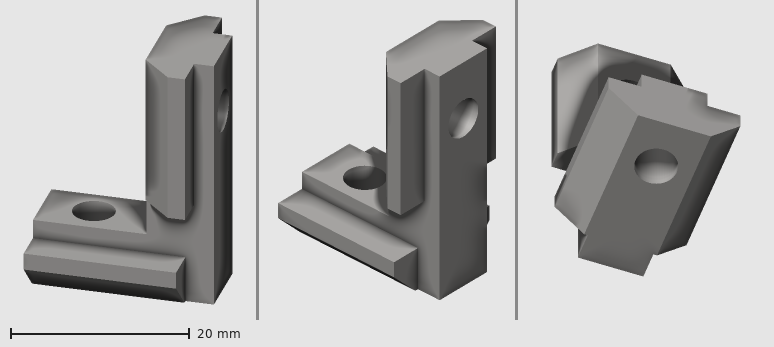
import cadquery as cq

length_x = 21.0
width_y = 15.7
height_z = 30.0

leg_thickness = 7.8
stem_width = 7.8
flange_thickness = 5.52
flange_chamfer = 3.5
flange_length = 17.7

hole_diameter = 4.92
foot_hole_offset = 6.0
upright_hole_offset = 7.5

upright_x = length_x - leg_thickness
cut_margin = 0.3


def stem():
    """L-shaped core, centred on Y = 0."""
    return (
        cq.Workplane("XZ")
        .moveTo(0, 0)
        .lineTo(length_x, 0)
        .lineTo(length_x, height_z)
        .lineTo(upright_x, height_z)
        .lineTo(upright_x, leg_thickness)
        .lineTo(0, leg_thickness)
        .close()
        .extrude(stem_width / 2, both=True)
    )


def flange(length, edges):
    """Flange bar along +X with the selected pair of long edges chamfered."""
    return (
        cq.Workplane("XY")
        .box(length, width_y, flange_thickness, centered=(False, True, False))
        .edges(edges)
        .chamfer(flange_chamfer)
    )


def foot_flange():
    """Flange of the horizontal leg, narrowing downward."""
    return flange(flange_length, "|X and <Z")


def upright_flange():
    """Flange of the vertical leg, narrowing toward -X."""
    bar = flange(flange_length, "|X and >Z")
    standing = bar.rotate((0, 0, 0), (0, 1, 0), -90)
    return standing.translate((upright_x + flange_thickness, 0, height_z - flange_length))


def foot_hole():
    """Vertical drill through the horizontal leg."""
    return (
        cq.Workplane("XY", origin=(foot_hole_offset, 0, -cut_margin))
        .circle(hole_diameter / 2)
        .extrude(leg_thickness + 2 * cut_margin)
    )


def upright_hole():
    """Drill along X through the vertical leg."""
    return (
        cq.Workplane("YZ", origin=(upright_x - cut_margin, 0, height_z - upright_hole_offset))
        .circle(hole_diameter / 2)
        .extrude(leg_thickness + 2 * cut_margin)
    )


body = stem().union(foot_flange()).union(upright_flange())
result = body.cut(foot_hole()).cut(upright_hole())